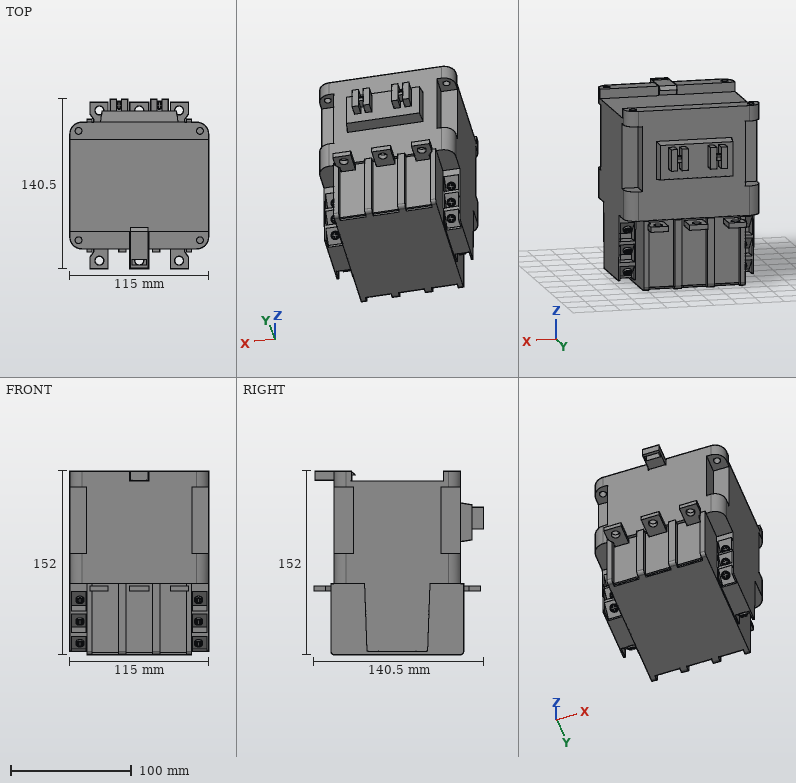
import cadquery as cq
import math

TOTAL_HEIGHT = 152.0
BASE_TOP = 59.0

BODY_WIDTH = 115.0
BODY_DEPTH = 105.0
CORNER_RADIUS = 10.0
RIDGE_DEPTH = 14.5
RIDGE_HEIGHT = 8.0
NOTCH_WIDTH = 13.8
NOTCH_DEPTH = 16.3
NOTCH_BOTTOM = 83.9
NOTCH_TOP = 139.0
SCREW_HOLE_DIAMETER = 5.6
SCREW_HOLE_INSET = 7.3

BASE_WIDTH = 86.5
BASE_DEPTH = 110.0
BASE_EDGE_RADIUS = 3.0
BAY_WIDTH = 21.9
BAY_PITCH = 28.0
BAY_DEPTH = 4.7
BAY_FOOT_HEIGHT = 1.8
BAY_FOOT_SETBACK = 1.5

BAR_TOP = 57.2
BAR_THICKNESS = 4.4
BAR_TIP = 69.0
BAR_ROOT = 45.6
BAR_INNER_X = 25.7
BAR_OUTER_X = 40.9
BAR_NECK_X = 37.7
BAR_NECK_START = 59.3
BAR_NECK_END = 54.7
CENTRE_BAR_WIDTH = 15.8
BAR_HOLE_DIAMETER = 7.1
BAR_HOLE_Y = 62.2
OUTER_BAR_HOLE_X = 33.0

SIDE_BOTTOM = 3.0
SIDE_TOP_HALF_DEPTH = 27.0
SIDE_BOTTOM_HALF_DEPTH = 25.1
SIDE_EDGE_RADIUS = 0.9
POCKET_COUNT = 3
POCKET_PITCH = 18.0
POCKET_INNER_X = 44.2
POCKET_OUTER_X = 56.2
POCKET_BACK_Y = 15.4
POCKET_FLOOR = 36.5
POCKET_BACK_HEIGHT = 4.4
POCKET_SLOPE = 45.0
POCKET_OVERSHOOT = 1.5
POCKET_SCREW_X = 49.1
POCKET_SCREW_RISE = 5.3

WASHER_DIAMETER = 6.8
WASHER_HEIGHT = 1.8
HEAD_DIAMETER = 5.2
HEAD_HEIGHT = 0.9
CROSS_LENGTH = HEAD_DIAMETER
CROSS_WIDTH = 1.5
CROSS_DEPTH = 1.0

COIL_BASE_WIDTH = 64.1
COIL_FACE_WIDTH = 61.7
COIL_BASE_HEIGHT = 32.2
COIL_FACE_HEIGHT = 29.2
COIL_CENTRE_Z = 109.7
COIL_FACE_Y = 61.9
SOCKET_TIP_Y = 71.5
SOCKET_WIDTH = 14.6
SOCKET_GAP = 4.0
SOCKET_BOTTOM = 104.1
SOCKET_TOP = 122.4
SOCKET_X = 16.7
PLATE_START_Y = 63.4
PLATE_END_Y = 70.0
PLATE_THICKNESS = 3.0
PLATE_TILT = 10.0

SLOT_WIDTH = 15.8
LATCH_WIDTH = 14.6
LATCH_HEIGHT = 7.6
LATCH_TIP_Y = 68.1
LATCH_BARB_REACH = 3.5
LATCH_BARB_HEIGHT = 3.2
LATCH_OVERHANG = 0.5
WINDOW_WIDTH = 12.2
WINDOW_DEPTH = 4.4
WINDOW_END_Y = 65.7

RIDGE_INNER_Y = BODY_DEPTH / 2 - RIDGE_DEPTH
RECESS_FLOOR = TOTAL_HEIGHT - RIDGE_HEIGHT
SIDES = (-1, 1)


def box(x0, x1, y0, y1, z0, z1):
    """Axis-aligned block between two opposite corners."""
    return cq.Workplane("XY").box(x1 - x0, y1 - y0, z1 - z0, centered=False).translate((x0, y0, z0))


def extrude_along_x(points, x0, x1):
    """Prism between x0 and x1 from an outline of (y, z) points."""
    return cq.Workplane("YZ").workplane(offset=x0).polyline(points).close().extrude(x1 - x0)


def on_both_ends(feature):
    """A feature at the front together with its mirror image at the rear."""
    return feature.union(feature.mirror("XZ"))


def screw_head(centre, normal):
    """Washer and cross-recessed head standing on the plane through centre."""
    base = cq.Workplane(cq.Plane(origin=centre, xDir=(1, 0, 0), normal=normal))
    top = WASHER_HEIGHT + HEAD_HEIGHT
    washer = base.circle(WASHER_DIAMETER / 2).extrude(WASHER_HEIGHT)
    head = base.circle(HEAD_DIAMETER / 2).extrude(top)
    cross_floor = base.workplane(offset=top - CROSS_DEPTH)
    cross = cross_floor.rect(CROSS_LENGTH, CROSS_WIDTH).extrude(CROSS_DEPTH)
    cross = cross.union(cross_floor.rect(CROSS_WIDTH, CROSS_LENGTH).extrude(CROSS_DEPTH))
    return washer.union(head).cut(cross)


def upper_housing():
    """Rounded block with two top ridges, corner notches, screw holes and the latch slot."""
    body = box(-BODY_WIDTH / 2, BODY_WIDTH / 2, -BODY_DEPTH / 2, BODY_DEPTH / 2, BASE_TOP, TOTAL_HEIGHT)
    body = body.edges("|Z").fillet(CORNER_RADIUS)
    body = body.cut(
        box(-BODY_WIDTH / 2, BODY_WIDTH / 2, -RIDGE_INNER_Y, RIDGE_INNER_Y, RECESS_FLOOR, TOTAL_HEIGHT)
    )
    notches = (
        cq.Workplane("XY", origin=(0, 0, NOTCH_BOTTOM))
        .rect(BODY_WIDTH, BODY_DEPTH, forConstruction=True)
        .vertices()
        .rect(2 * NOTCH_WIDTH, 2 * NOTCH_DEPTH)
        .extrude(NOTCH_TOP - NOTCH_BOTTOM)
    )
    screw_holes = (
        cq.Workplane("XY", origin=(0, 0, NOTCH_TOP))
        .rect(BODY_WIDTH - 2 * SCREW_HOLE_INSET, BODY_DEPTH - 2 * SCREW_HOLE_INSET, forConstruction=True)
        .vertices()
        .circle(SCREW_HOLE_DIAMETER / 2)
        .extrude(TOTAL_HEIGHT - NOTCH_TOP)
    )
    latch_slot = box(
        -SLOT_WIDTH / 2, SLOT_WIDTH / 2, -BODY_DEPTH / 2, -RIDGE_INNER_Y, RECESS_FLOOR, TOTAL_HEIGHT
    )
    return body.cut(notches).cut(screw_holes).cut(latch_slot)


def terminal_base():
    """Block with rounded lower edges and three recessed bays between ribs, front and rear."""
    base = box(-BASE_WIDTH / 2, BASE_WIDTH / 2, -BASE_DEPTH / 2, BASE_DEPTH / 2, 0, BASE_TOP)
    base = base.edges("|X and <Z").fillet(BASE_EDGE_RADIUS)
    front = -BASE_DEPTH / 2
    bay_back = front + BAY_DEPTH
    foot_back = bay_back + BAY_FOOT_SETBACK
    for column in (-1, 0, 1):
        left = column * BAY_PITCH - BAY_WIDTH / 2
        bay = box(left, left + BAY_WIDTH, front, bay_back, 0, BASE_TOP)
        foot = box(left, left + BAY_WIDTH, front, foot_back, 0, BAY_FOOT_HEIGHT)
        base = base.cut(on_both_ends(bay.union(foot)))
    return base


def terminal_bars():
    """Three drilled bars at each end; the outer two narrow on their outer side near the base."""
    bar_bottom = BAR_TOP - BAR_THICKNESS
    plane = cq.Workplane("XY", origin=(0, 0, bar_bottom))
    bars = box(-CENTRE_BAR_WIDTH / 2, CENTRE_BAR_WIDTH / 2, -BAR_TIP, -BAR_ROOT, bar_bottom, BAR_TOP)
    for side in SIDES:
        outline = [
            (side * BAR_INNER_X, -BAR_ROOT),
            (side * BAR_INNER_X, -BAR_TIP),
            (side * BAR_OUTER_X, -BAR_TIP),
            (side * BAR_OUTER_X, -BAR_NECK_START),
            (side * BAR_NECK_X, -BAR_NECK_END),
            (side * BAR_NECK_X, -BAR_ROOT),
        ]
        bars = bars.union(plane.polyline(outline).close().extrude(BAR_THICKNESS))
    hole_centres = [(x, -BAR_HOLE_Y) for x in (-OUTER_BAR_HOLE_X, 0, OUTER_BAR_HOLE_X)]
    holes = plane.pushPoints(hole_centres).circle(BAR_HOLE_DIAMETER / 2).extrude(BAR_THICKNESS)
    return on_both_ends(bars.cut(holes))


def contact_pocket(floor):
    """Cutter for one front pocket: flat floor, low upright back and a ceiling sloping out and up."""
    mouth = SIDE_TOP_HALF_DEPTH + POCKET_OVERSHOOT
    back_top = floor + POCKET_BACK_HEIGHT
    ceiling_rise = (mouth - POCKET_BACK_Y) * math.tan(math.radians(POCKET_SLOPE))
    outline = [
        (-POCKET_BACK_Y, floor),
        (-POCKET_BACK_Y, back_top),
        (-mouth, back_top + ceiling_rise),
        (-mouth, floor),
    ]
    return extrude_along_x(outline, POCKET_INNER_X, POCKET_OUTER_X)


def pocket_screw(floor):
    """Screw head on the sloped face of one pocket."""
    slope = math.radians(POCKET_SLOPE)
    centre_y = -POCKET_BACK_Y - POCKET_SCREW_RISE / math.tan(slope)
    centre_z = floor + POCKET_BACK_HEIGHT + POCKET_SCREW_RISE
    return screw_head((POCKET_SCREW_X, centre_y, centre_z), (0, -math.sin(slope), -math.cos(slope)))


def contact_block():
    """Tapered block on the +X side with a column of screw pockets at the front and the rear."""
    outline = [
        (-SIDE_TOP_HALF_DEPTH, BASE_TOP),
        (SIDE_TOP_HALF_DEPTH, BASE_TOP),
        (SIDE_BOTTOM_HALF_DEPTH, SIDE_BOTTOM),
        (-SIDE_BOTTOM_HALF_DEPTH, SIDE_BOTTOM),
    ]
    block = extrude_along_x(outline, BASE_WIDTH / 2, BODY_WIDTH / 2)
    block = block.edges("|X and <Z").fillet(SIDE_EDGE_RADIUS)
    for row in range(POCKET_COUNT):
        floor = POCKET_FLOOR - row * POCKET_PITCH
        block = block.cut(on_both_ends(contact_pocket(floor)))
        block = block.union(on_both_ends(pocket_screw(floor)))
    return block


def coil_socket(centre_x):
    """Two upright jaws joined by a tilted plate that carries a screw head."""
    jaws = box(
        centre_x - SOCKET_WIDTH / 2, centre_x + SOCKET_WIDTH / 2,
        COIL_FACE_Y, SOCKET_TIP_Y, SOCKET_BOTTOM, SOCKET_TOP,
    )
    gap_left = centre_x - SOCKET_GAP / 2
    gap_right = centre_x + SOCKET_GAP / 2
    jaws = jaws.cut(box(gap_left, gap_right, COIL_FACE_Y, SOCKET_TIP_Y, SOCKET_BOTTOM, SOCKET_TOP))

    tilt = math.radians(PLATE_TILT)
    middle_y = (PLATE_START_Y + PLATE_END_Y) / 2
    middle_z = (SOCKET_BOTTOM + SOCKET_TOP) / 2
    half_rise = (PLATE_END_Y - PLATE_START_Y) / 2 * math.tan(tilt)
    plate = extrude_along_x(
        [
            (PLATE_START_Y, middle_z - half_rise),
            (PLATE_END_Y, middle_z + half_rise),
            (PLATE_END_Y, middle_z + half_rise - PLATE_THICKNESS),
            (PLATE_START_Y, middle_z - half_rise - PLATE_THICKNESS),
        ],
        gap_left, gap_right,
    )
    screw = screw_head((centre_x, middle_y, middle_z), (0, -math.sin(tilt), math.cos(tilt)))
    return jaws.union(plate).union(screw)


def coil_terminals():
    """Tapered pad on the rear wall with two screw sockets."""
    wall_y = BODY_DEPTH / 2
    pad = (
        cq.Workplane("XZ", origin=(0, wall_y, COIL_CENTRE_Z))
        .rect(COIL_BASE_WIDTH, COIL_BASE_HEIGHT)
        .workplane(offset=wall_y - COIL_FACE_Y)
        .rect(COIL_FACE_WIDTH, COIL_FACE_HEIGHT)
        .loft(ruled=True)
    )
    for side in SIDES:
        pad = pad.union(coil_socket(side * SOCKET_X))
    return pad


def make_housing():
    side_block = contact_block()
    housing = upper_housing().union(terminal_base()).union(terminal_bars()).union(coil_terminals())
    return housing.union(side_block).union(side_block.mirror("YZ"))


def make_latch():
    """Bar with a barb hooking over the inner end of its slot and a window near its outer tip."""
    bottom = TOTAL_HEIGHT - LATCH_HEIGHT
    barb_z = TOTAL_HEIGHT - LATCH_BARB_HEIGHT
    outline = [
        (-LATCH_TIP_Y, bottom),
        (-LATCH_TIP_Y, TOTAL_HEIGHT),
        (-RIDGE_INNER_Y, TOTAL_HEIGHT),
        (-RIDGE_INNER_Y + LATCH_BARB_REACH, barb_z),
        (-RIDGE_INNER_Y + LATCH_OVERHANG, barb_z),
        (-RIDGE_INNER_Y + LATCH_OVERHANG, bottom),
    ]
    latch = extrude_along_x(outline, -LATCH_WIDTH / 2, LATCH_WIDTH / 2)
    window = box(
        -WINDOW_WIDTH / 2, WINDOW_WIDTH / 2,
        -WINDOW_END_Y, -WINDOW_END_Y + WINDOW_DEPTH,
        bottom, TOTAL_HEIGHT,
    )
    return latch.cut(window)


housing = make_housing()
latch = make_latch()
result = cq.Compound.makeCompound([housing.val(), latch.val()])